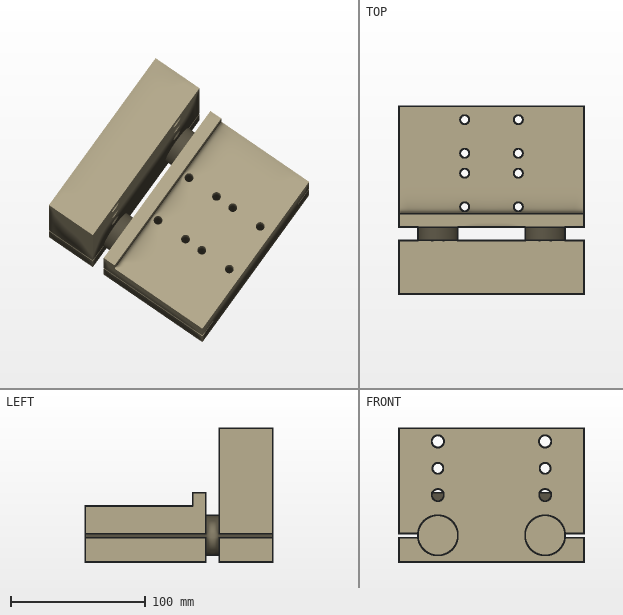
import cadquery as cq

total_length = 140.0
width = 138.0
gap = 10.0

upright_depth = 40.0
upright_height = 100.0

base_start = upright_depth + gap
base_length = total_length - base_start
base_height = 42.0
lip_size = 10.0

column_diameter = 30.0
column_spacing = 80.0
column_height = 20.0

slit_height = 3.0
slit_center = 19.7

large_hole_diameter = 9.0
small_hole_diameter = 8.0
upright_hole_pitch = 20.0
middle_hole_height = 70.0
upright_holes = [
    (middle_hole_height - upright_hole_pitch, large_hole_diameter),
    (middle_hole_height, small_hole_diameter),
    (middle_hole_height + upright_hole_pitch, large_hole_diameter),
]

base_hole_diameter = 6.6
base_hole_spacing_x = 40.0
base_hole_spacing_y = 25.0
pattern_centers_from_rear = [22.5, 62.5]

column_positions = [-column_spacing / 2, column_spacing / 2]


def block(start, length, height):
    """Box of full width, standing on z = 0 with its front face at y = start."""
    box = cq.Workplane("XY").box(width, length, height, centered=(True, False, False))
    return box.translate((0, start, 0))


def cylinder_along_y(x, z, diameter, length):
    """Cylinder running back from the front face."""
    return cq.Workplane("XZ").center(x, z).circle(diameter / 2).extrude(-length)


def clamping_slits(start, length):
    """Pair of horizontal slits reaching from the outer sides to the column axes."""
    slit_reach = (width - column_spacing) / 2
    slit_offset = (width - slit_reach) / 2
    return (
        cq.Workplane("XY")
        .pushPoints([(-slit_offset, start + length / 2), (slit_offset, start + length / 2)])
        .box(slit_reach, length, slit_height)
        .translate((0, 0, slit_center))
    )


def make_upright():
    """Upright block with column bores, clamping slits and two rows of through holes."""
    upright = block(0, upright_depth, upright_height).cut(clamping_slits(0, upright_depth))
    for x in column_positions:
        upright = upright.cut(cylinder_along_y(x, column_height, column_diameter, upright_depth))
        for z, diameter in upright_holes:
            upright = upright.cut(cylinder_along_y(x, z, diameter, upright_depth))
    return upright


def make_base():
    """Slit base block with its lip, mounting holes and the two columns fixed in it."""
    base = block(base_start, base_length, base_height)
    base = base.union(block(base_start, lip_size, base_height + lip_size))
    base = base.cut(clamping_slits(base_start, base_length))

    for distance in pattern_centers_from_rear:
        holes = (
            cq.Workplane("XY")
            .center(0, total_length - distance)
            .rect(base_hole_spacing_x, base_hole_spacing_y, forConstruction=True)
            .vertices()
            .circle(base_hole_diameter / 2)
            .extrude(base_height)
        )
        base = base.cut(holes)

    for x in column_positions:
        base = base.union(cylinder_along_y(x, column_height, column_diameter, total_length))
    return base


upright = make_upright()
base = make_base()

result = cq.Compound.makeCompound([upright.solids().val(), base.solids().val()])